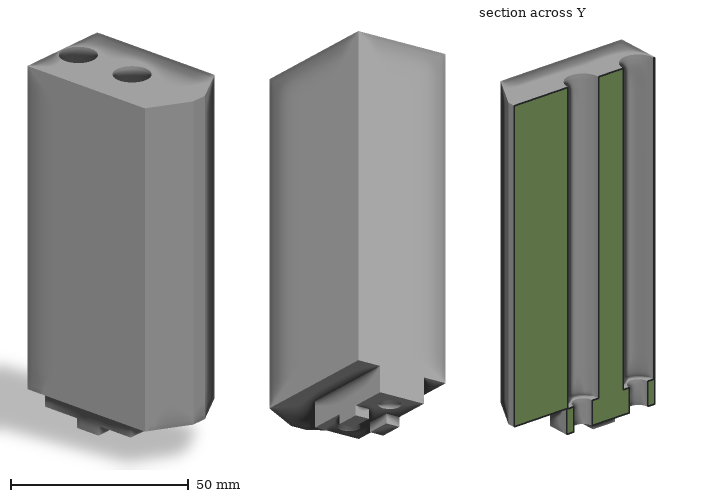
import cadquery as cq

body_length = 51.0
body_width = 30.0
body_height = 100.0
nose_start = 43.7
nose_flat_width = 5.0

total_height = 111.0
foot_length = 32.0
foot_width = 15.0
foot_height = 8.0
tab_length = 8.0
tab_gap = 6.0
tab_height = total_height - body_height - foot_height
tab_width = (foot_width - tab_gap) / 2
tab_offset = (tab_gap + tab_width) / 2

hole_diameter = 6.5
counterbore_diameter = 11.0
first_hole_x = 6.0
hole_spacing = 20.0
counterbore_depth = body_height

foot_bottom = tab_height
body_bottom = foot_bottom + foot_height


def make_body():
    """Extrude the plan outline, which narrows to a short flat nose."""
    half_width = body_width / 2
    half_flat = nose_flat_width / 2
    outline = [
        (0, -half_width),
        (nose_start, -half_width),
        (body_length, -half_flat),
        (body_length, half_flat),
        (nose_start, half_width),
        (0, half_width),
    ]
    return cq.Workplane("XY", origin=(0, 0, body_bottom)).polyline(outline).close().extrude(body_height)


def make_foot():
    """Build the narrow foot, flush with the flat end of the body."""
    return (
        cq.Workplane("XY", origin=(0, 0, foot_bottom))
        .center(foot_length / 2, 0)
        .rect(foot_length, foot_width)
        .extrude(foot_height)
    )


def make_tabs():
    """Build two tabs at mid-length of the foot, flush with its sides."""
    return (
        cq.Workplane("XY")
        .center(foot_length / 2, 0)
        .pushPoints([(0, -tab_offset), (0, tab_offset)])
        .rect(tab_length, tab_width)
        .extrude(tab_height)
    )


block = make_body().union(make_foot()).union(make_tabs())

result = (
    block.faces(">Z")
    .workplane(origin=(0, 0, total_height))
    .pushPoints([(first_hole_x, 0), (first_hole_x + hole_spacing, 0)])
    .cboreHole(hole_diameter, counterbore_diameter, counterbore_depth)
)